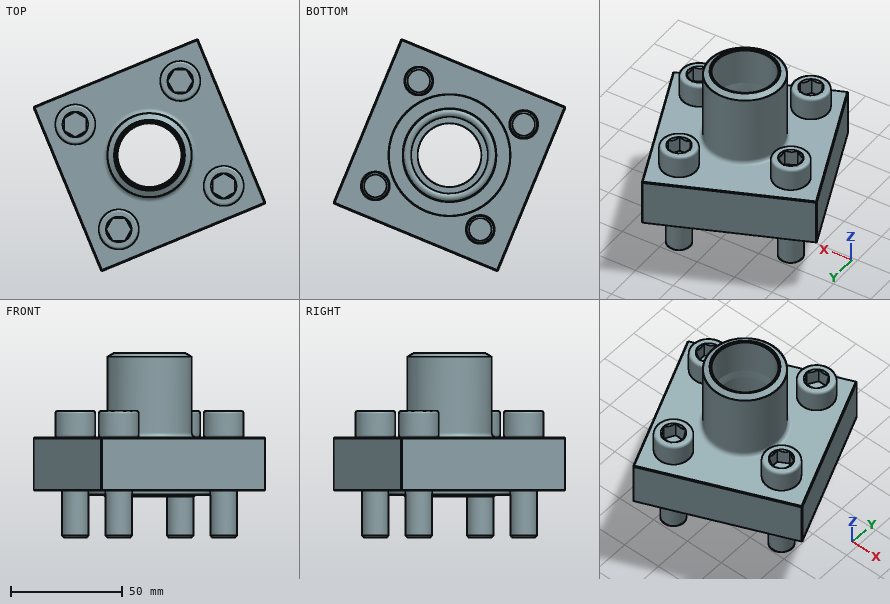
import cadquery as cq
import math

plate_side = 80.0
plate_thickness = 24.0
plate_turn = 22.5
plate_chamfer = 0.5

pipe_diameter = 38.0
pipe_height = 38.0
pipe_land_diameter = 32.0
pipe_bevel_height = 1.7
pipe_bevel_diameter = 37.6
pipe_root_diameter = 42.3
pipe_root_radius = (pipe_root_diameter - pipe_diameter) / 2

bore_diameter = 28.5
pipe_bore_diameter = 30.0
pipe_bore_depth = 19.0
bore_taper_height = 4.0
bore_mouth_chamfer = 0.3

face_diameter = 55.0
face_height = 2.0
face_chamfer = 0.3

ring_inner_diameter = 34.5
ring_section = 3.5
ring_centre_diameter = ring_inner_diameter + ring_section
groove_outer_diameter = 42.3
groove_depth = 2.7
groove_floor_z = groove_depth - face_height

screw_count = 4
screw_spacing = 51.0
first_screw_angle = plate_turn + 45
screw_diameter = 12.0
screw_hole_diameter = 13.0
screw_reach = 21.0
screw_tip_chamfer = 0.9
head_diameter = 18.0
head_height = 12.0
head_top_fillet = 1.2
head_bottom_fillet = 1.0
socket_flats = 10.0
socket_depth = 8.0
socket_turn = -first_screw_angle
socket_corners = socket_flats / math.cos(math.radians(30))
socket_bevel = (socket_corners - socket_flats) / 2


def cylinder(diameter, bottom, top):
    """Upright cylinder on the Z axis between two heights."""
    return cq.Workplane("XY").workplane(offset=bottom).circle(diameter / 2).extrude(top - bottom)


def screw_angles():
    """Angle about Z of each screw, on the diagonals of the plate."""
    return [first_screw_angle + i * 360 / screw_count for i in range(screw_count)]


def at_screw_place(shape, angle):
    """Move a shape from the Z axis out to the screw circle and turn it to its angle."""
    circle_radius = screw_spacing / math.sqrt(2)
    return shape.translate((circle_radius, 0, 0)).rotate((0, 0, 0), (0, 0, 1), angle)


def make_plate():
    plate = cq.Workplane("XY").rect(plate_side, plate_side).extrude(plate_thickness)
    plate = plate.edges().chamfer(plate_chamfer)
    return plate.rotate((0, 0, 0), (0, 0, 1), plate_turn)


def make_pipe():
    """Revolved pipe stub with a shoulder and bevel at the top and a rounded root."""
    pipe_radius = pipe_diameter / 2
    root_top_z = plate_thickness + pipe_root_radius
    pipe_top_z = plate_thickness + pipe_height
    return (
        cq.Workplane("XZ")
        .moveTo(0, plate_thickness)
        .lineTo(pipe_root_diameter / 2, plate_thickness)
        .radiusArc((pipe_radius, root_top_z), pipe_root_radius)
        .lineTo(pipe_radius, pipe_top_z - pipe_bevel_height)
        .lineTo(pipe_bevel_diameter / 2, pipe_top_z - pipe_bevel_height)
        .lineTo(pipe_land_diameter / 2, pipe_top_z)
        .lineTo(0, pipe_top_z)
        .close()
        .revolve(360, (0, 0, 0), (0, 1, 0))
    )


def make_passage():
    """Revolved through bore that tapers out to the wider pipe bore and its chamfered mouth."""
    pipe_top_z = plate_thickness + pipe_height
    taper_top_z = pipe_top_z - pipe_bore_depth
    bore_radius = bore_diameter / 2
    pipe_bore_radius = pipe_bore_diameter / 2
    return (
        cq.Workplane("XZ")
        .moveTo(0, -face_height)
        .lineTo(bore_radius, -face_height)
        .lineTo(bore_radius, taper_top_z - bore_taper_height)
        .lineTo(pipe_bore_radius, taper_top_z)
        .lineTo(pipe_bore_radius, pipe_top_z - bore_mouth_chamfer)
        .lineTo(pipe_bore_radius + bore_mouth_chamfer, pipe_top_z)
        .lineTo(0, pipe_top_z)
        .close()
        .revolve(360, (0, 0, 0), (0, 1, 0))
    )


def make_flange():
    flange = make_plate().union(make_pipe())
    face = cylinder(face_diameter, -face_height, plate_thickness / 2)
    flange = flange.union(face.faces("<Z").edges().chamfer(face_chamfer)).cut(make_passage())

    groove = cylinder(groove_outer_diameter, -face_height, groove_floor_z)
    groove = groove.cut(cylinder(ring_inner_diameter, -face_height, groove_floor_z))
    flange = flange.cut(groove)

    screw_hole = cylinder(screw_hole_diameter, 0, plate_thickness)
    for angle in screw_angles():
        flange = flange.cut(at_screw_place(screw_hole, angle))
    return flange


def make_seal_ring():
    return (
        cq.Workplane("XZ")
        .center(ring_centre_diameter / 2, groove_floor_z - ring_section / 2)
        .circle(ring_section / 2)
        .revolve(360, (-ring_centre_diameter / 2, 0, 0), (-ring_centre_diameter / 2, 1, 0))
    )


def make_screw(angle):
    """Socket head screw with its head seated on the plate."""
    head_top_z = plate_thickness + head_height
    head = cylinder(head_diameter, plate_thickness, head_top_z)
    head = head.faces(">Z").edges().fillet(head_top_fillet)
    head = head.faces("<Z").edges().fillet(head_bottom_fillet)
    shank = cylinder(screw_diameter, -screw_reach, plate_thickness)
    shank = shank.faces("<Z").edges().chamfer(screw_tip_chamfer)

    socket = (
        cq.Workplane("XY")
        .workplane(offset=head_top_z - socket_depth)
        .polygon(6, socket_corners)
        .extrude(socket_depth)
        .rotate((0, 0, 0), (0, 0, 1), socket_turn)
    )
    lead_in = cq.Workplane(
        cq.Solid.makeCone(
            socket_flats / 2,
            socket_corners / 2,
            socket_bevel,
            cq.Vector(0, 0, head_top_z - socket_bevel),
        )
    )
    screw = head.union(shank).cut(socket).cut(lead_in)
    return at_screw_place(screw, angle)


flange = make_flange()
seal_ring = make_seal_ring()
screws = [make_screw(angle) for angle in screw_angles()]

result = cq.Compound.makeCompound([flange.val(), seal_ring.val(), *[screw.val() for screw in screws]])